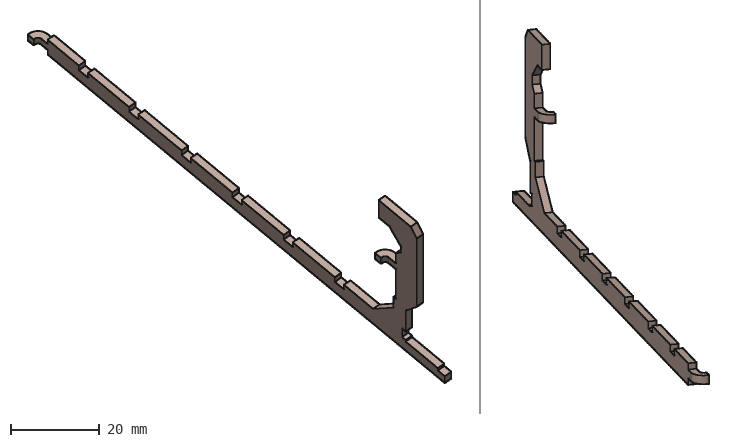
import cadquery as cq
import math

total_length = 137.01
total_height = 44.78
total_depth = 3.4
thickness = 2.0

rail_start_x = 5.1
rail_height = 5.2
tail_height = 3.2
tail_step_x = 134.7
tail_tip_height = 2.4

notch_centers_x = (17.0, 33.65, 51.1, 68.0, 85.0, 102.0)
notch_width = 3.0
notch_depth = 1.6

gusset_start_x = 113.2
neck_left_x = 119.9
gusset_top_z = 11.5
neck_top_z = 15.2
arm_left_x = 120.7
arm_right_x = 127.7
neck_right_x = 124.0
neck_flare_z = 14.0
arm_flare_z = 18.5

undercut_x = 122.8
undercut_bottom_z = 3.7
undercut_top_z = 6.6

hook_tip_x = 115.0
hook_bottom_z = 38.7
hook_bevel_x = 118.5
throat_x = 122.4
throat_top_z = 35.0
throat_bottom_z = 32.8
throat_ramp_z = 31.2
corner_start_x = 125.7
corner_end_z = 42.4

finger_height = 2.1
finger_inner_radius = 1.0
rail_finger_z = 1.6
arm_finger_tip_x = 115.3
arm_finger_z = 25.6
finger_overlap = 0.5


def make_plate():
    outline = [
        (rail_start_x, 0),
        (total_length, 0),
        (total_length, tail_tip_height),
        (tail_step_x, tail_tip_height),
        (tail_step_x, tail_height),
        (neck_right_x, tail_height),
        (neck_right_x, undercut_bottom_z),
        (undercut_x, undercut_bottom_z),
        (undercut_x, undercut_top_z),
        (neck_right_x, undercut_top_z),
        (neck_right_x, neck_flare_z),
        (arm_right_x, arm_flare_z),
        (arm_right_x, corner_end_z),
        (corner_start_x, total_height),
        (hook_tip_x, total_height),
        (hook_tip_x, hook_bottom_z),
        (hook_bevel_x, hook_bottom_z),
        (throat_x, throat_top_z),
        (throat_x, throat_bottom_z),
        (arm_left_x, throat_ramp_z),
        (arm_left_x, neck_top_z),
        (neck_left_x, neck_top_z),
        (neck_left_x, gusset_top_z),
        (gusset_start_x, rail_height),
        (rail_start_x, rail_height),
    ]
    return cq.Workplane("XZ").polyline(outline).close().extrude(thickness)


def make_notches():
    centers = [(x, rail_height) for x in notch_centers_x]
    return cq.Workplane("XZ").pushPoints(centers).rect(notch_width, 2 * notch_depth).extrude(thickness)


def make_finger(tip_x, root_x, bottom_z):
    """Finger running out along -X, then bent forward through a rounded quarter-turn elbow."""
    inner_radius = finger_inner_radius
    outer_radius = inner_radius + thickness
    bend_x = tip_x + outer_radius
    bend_y = -outer_radius
    end_x = root_x + finger_overlap
    diagonal = math.sqrt(0.5)
    outer_middle = (bend_x - outer_radius * diagonal, bend_y + outer_radius * diagonal)
    inner_middle = (bend_x - inner_radius * diagonal, bend_y + inner_radius * diagonal)
    return (
        cq.Workplane("XY")
        .workplane(offset=bottom_z)
        .moveTo(end_x, 0)
        .lineTo(bend_x, 0)
        .threePointArc(outer_middle, (tip_x, bend_y))
        .lineTo(tip_x, -total_depth)
        .lineTo(tip_x + thickness, -total_depth)
        .lineTo(tip_x + thickness, bend_y)
        .threePointArc(inner_middle, (bend_x, -thickness))
        .lineTo(end_x, -thickness)
        .close()
        .extrude(finger_height)
    )


rail_finger = make_finger(0, rail_start_x, rail_finger_z)
arm_finger = make_finger(arm_finger_tip_x, arm_left_x, arm_finger_z)

result = make_plate().cut(make_notches()).union(rail_finger).union(arm_finger)